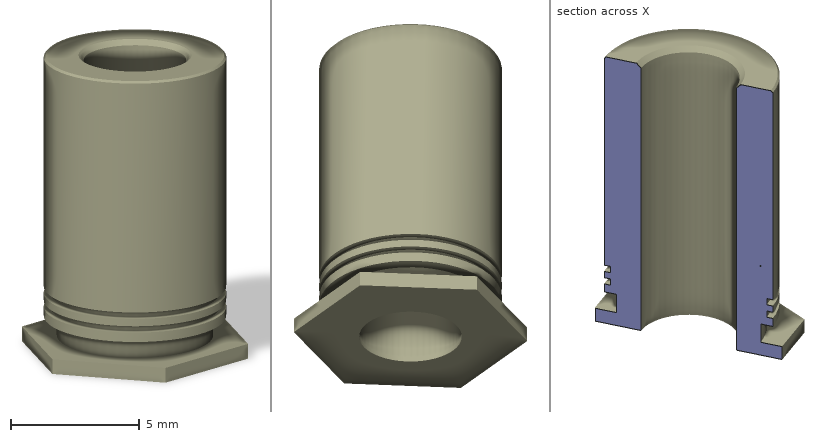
import cadquery as cq
import math

total_height = 12.0
body_diameter = 7.12
top_edge_chamfer = 0.08

hex_sides = 6
hex_across_flats = 7.9
hex_across_corners = hex_across_flats / math.cos(math.pi / hex_sides)
hex_thickness = 0.6

neck_diameter = 6.1
neck_top = 1.4

groove_diameter = 6.61
groove_width = 0.26
groove_bottoms = (1.78, 2.34)

bore_diameter = 4.0
bore_mouth_chamfer = 0.2


def cylinder(diameter, bottom, top):
    """Upright cylinder on the Z axis between two heights."""
    return cq.Workplane("XY").workplane(offset=bottom).circle(diameter / 2).extrude(top - bottom)


def hex_head():
    """Hexagonal plate with corners on the X axis."""
    return (
        cq.Workplane("XY")
        .polygon(hex_sides, hex_across_corners)
        .extrude(hex_thickness)
    )


def barrel():
    """Cylindrical body with a broken top edge and two ring grooves."""
    body = cylinder(body_diameter, neck_top, total_height).faces(">Z").edges().chamfer(top_edge_chamfer)
    for bottom in groove_bottoms:
        top = bottom + groove_width
        ring = cylinder(body_diameter, bottom, top).cut(cylinder(groove_diameter, bottom, top))
        body = body.cut(ring)
    return body


def bore():
    """Through hole, widened by a 45 degree cone at its top mouth."""
    bore_radius = bore_diameter / 2
    mouth_radius = bore_radius + bore_mouth_chamfer
    half_profile = [
        (0, 0),
        (bore_radius, 0),
        (bore_radius, total_height - bore_mouth_chamfer),
        (mouth_radius, total_height),
        (0, total_height),
    ]
    return cq.Workplane("XZ").polyline(half_profile).close().revolve(360, (0, 0), (0, 1))


result = hex_head().union(cylinder(neck_diameter, 0, neck_top)).union(barrel()).cut(bore())